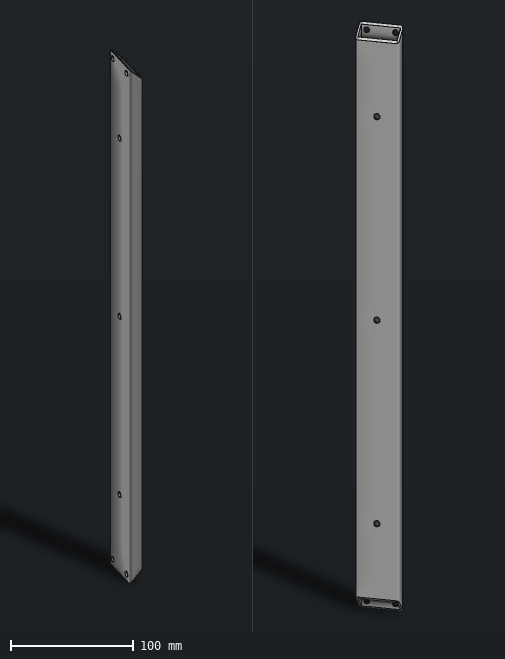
import cadquery as cq

width = 38.0
depth = 12.5
length = 499.5

wall = 2.0
corner_radius = 2.5

miter_rise = depth

corner_hole_diameter = 4.75
center_hole_diameter = 5.0
corner_hole_spacing_x = 25.0
corner_hole_end_distance = 6.5
center_hole_spacing_z = 173.5


def bar(size_x, size_y):
    """Rectangular bar along Z, centred on the origin."""
    return cq.Workplane("XY").box(size_x, size_y, length)


def through_holes(places, diameter):
    """Cylinders along Y through both broad walls, at (x, z) places."""
    return (
        cq.Workplane("XZ")
        .pushPoints(places)
        .circle(diameter / 2)
        .extrude(depth, both=True)
    )


outer = bar(width, depth).edges("|Z").fillet(corner_radius)
tube = outer.cut(bar(width - 2 * wall, depth - 2 * wall))

back_half_length = length / 2 - miter_rise
miter_outline = (
    cq.Workplane("YZ")
    .polyline([
        (-depth / 2, -length / 2),
        (-depth / 2, length / 2),
        (depth / 2, back_half_length),
        (depth / 2, -back_half_length),
    ])
    .close()
    .extrude(width / 2, both=True)
)

corner_x = corner_hole_spacing_x / 2
corner_z = length / 2 - corner_hole_end_distance
corner_places = [(x, z) for x in (-corner_x, corner_x) for z in (-corner_z, corner_z)]
center_places = [(0, row * center_hole_spacing_z) for row in (-1, 0, 1)]

result = (
    tube.intersect(miter_outline)
    .cut(through_holes(corner_places, corner_hole_diameter))
    .cut(through_holes(center_places, center_hole_diameter))
)